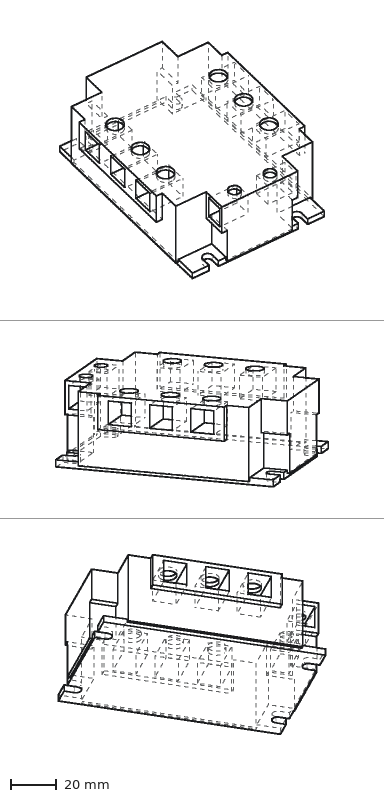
import cadquery as cq

length = 103.9
width = 79.7
height = 35.4

housing_length = 79.8
housing_width = 73.3
housing_base_z = 1.8
arm_upper_width = 40.8
arm_lower_width = 34.8
ledge_length = 59.1
step_depth = 15.5

plate_length = 101.6
plate_width = 70.7
plate_thickness = 3.2
slot_width = 5.0
slot_depth = 7.2
slot_pitch = 47.9

pocket_roof = 2.1
pocket_height = 10.7

power_pitch = 19.3
power_hole_diameter = 8.1
power_hole_y = 27.7
power_pocket_width = 10.7
power_pocket_end_y = power_hole_y - power_pocket_width / 2

control_x = 46.0
control_hole_diameter = 6.0
control_hole_y = 9.6
control_pocket_width = 8.5
control_pocket_end_y = control_hole_y - control_pocket_width / 2


def block(size_x, size_y, bottom_z, top_z):
    """Box centred on the Z axis between two heights."""
    return (
        cq.Workplane("XY", origin=(0, 0, bottom_z))
        .rect(size_x, size_y)
        .extrude(top_z - bottom_z)
    )


def make_housing():
    step_z = height - step_depth
    housing = block(housing_length, housing_width, housing_base_z, height)
    lower_arms = block(length, arm_lower_width, housing_base_z, height)
    upper_arms = block(length, arm_upper_width, step_z, height)
    ledges = block(ledge_length, width, step_z, height)
    return housing.union(lower_arms).union(upper_arms).union(ledges)


def make_plate():
    plate = block(plate_length, plate_width, 0, plate_thickness)
    slots = (
        cq.Workplane("XY")
        .rect(plate_length, slot_pitch, forConstruction=True)
        .vertices()
        .slot2D(2 * slot_depth, slot_width)
        .extrude(plate_thickness)
    )
    return plate.cut(slots)


def make_terminal(x, side, face_y, end_y, pocket_width, hole_y, hole_diameter):
    """Pocket from the outer face inward, joined by a vertical hole; side is +1 or -1 in Y."""
    pocket_top = height - pocket_roof
    pocket = block(pocket_width, face_y - end_y, pocket_top - pocket_height, pocket_top)
    pocket = pocket.translate((x, side * (face_y + end_y) / 2, 0))
    hole = (
        cq.Workplane("XY", origin=(x, side * hole_y, pocket_top))
        .circle(hole_diameter / 2)
        .extrude(pocket_roof)
    )
    return pocket.union(hole)


result = make_housing().union(make_plate())

for side in (-1, 1):
    for x in (-power_pitch, 0, power_pitch):
        result = result.cut(
            make_terminal(
                x, side, width / 2, power_pocket_end_y,
                power_pocket_width, power_hole_y, power_hole_diameter,
            )
        )
    result = result.cut(
        make_terminal(
            control_x, side, arm_upper_width / 2, control_pocket_end_y,
            control_pocket_width, control_hole_y, control_hole_diameter,
        )
    )